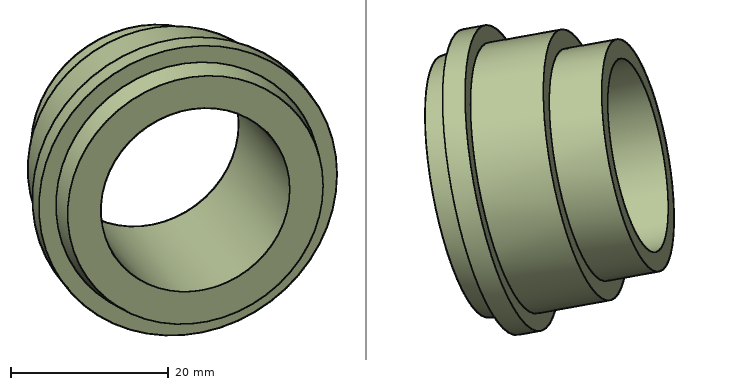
import cadquery as cq
import math

flange_diameter = 39.5
body_diameter = 35.0
spigot_diameter = 30.02
bore_diameter = 25.0

total_length = 23.0
spigot_length = 7.0
body_length = 9.7
flange_length = 3.0
nose_length = total_length - spigot_length - body_length - flange_length

nose_taper_angle = 10.0
nose_end_diameter = body_diameter - 2 * nose_length * math.tan(math.radians(nose_taper_angle))

body_start = spigot_length
flange_start = body_start + body_length
nose_start = flange_start + flange_length

half_section = (
    cq.Workplane("XY")
    .moveTo(0, bore_diameter / 2)
    .lineTo(0, spigot_diameter / 2)
    .lineTo(body_start, spigot_diameter / 2)
    .lineTo(body_start, body_diameter / 2)
    .lineTo(flange_start, body_diameter / 2)
    .lineTo(flange_start, flange_diameter / 2)
    .lineTo(nose_start, flange_diameter / 2)
    .lineTo(nose_start, body_diameter / 2)
    .lineTo(total_length, nose_end_diameter / 2)
    .lineTo(total_length, bore_diameter / 2)
    .close()
)

result = half_section.revolve(360, (0, 0, 0), (1, 0, 0))